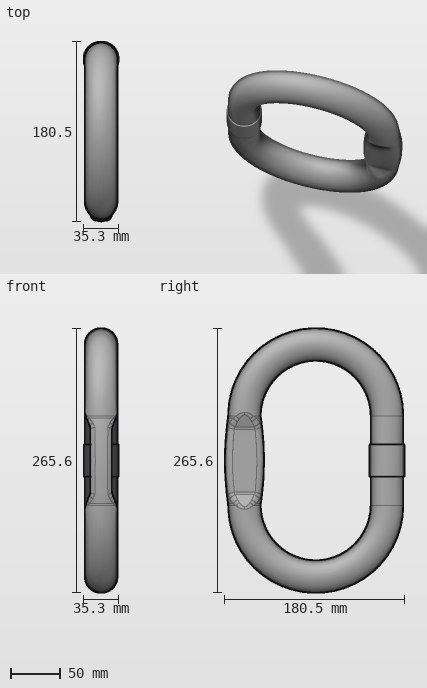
import cadquery as cq
import math

ring_height = 265.6
wire_diameter = 33.0
straight_length = 89.8

wire_radius = wire_diameter / 2
straight_half = straight_length / 2
bend_radius = ring_height / 2 - straight_half - wire_radius

collar_diameter = 35.3
collar_length = 32.5
collar_edge = 1.0

collar_radius = collar_diameter / 2

overall_depth = 180.5
barrel_end_blend = 13.3

barrel_radius = overall_depth - 2 * bend_radius - collar_radius
leg_y = -bend_radius

flat_thickness = 21.8
flat_length = 65.5
runout_length = 94.3
flat_blend = 7.0
cut_reach = 26.5
selection_gap = 0.3


def bend(side):
    """Half torus closing the ring at its upper (+1) or lower (-1) end."""
    profile = cq.Workplane("XY", origin=(0, leg_y, 0)).circle(wire_radius)
    half = profile.revolve(180, (0, bend_radius, 0), (-side, bend_radius, 0))
    return half.translate((0, 0, side * straight_half))


def round_bar(y, radius, length):
    """Bar parallel to Z, centred on Z = 0."""
    return cq.Workplane("XY", origin=(0, y, -length / 2)).circle(radius).extrude(length)


def collar():
    """Sleeve with rounded rims around the +Y leg."""
    return round_bar(bend_radius, collar_radius, collar_length).edges().fillet(collar_edge)


def barrel():
    """The -Y leg: one long outward arc, met at each end by a tangent inward blend."""
    swell = barrel_radius - wire_radius
    centre_distance = (swell**2 + straight_half**2) / (2 * swell)
    arc_radius = centre_distance - barrel_end_blend
    arc_centre_x = barrel_radius - arc_radius
    blend_centre_x = wire_radius + barrel_end_blend
    end_angle = math.asin(straight_half / centre_distance)

    tangent_x = arc_centre_x + arc_radius * math.cos(end_angle)
    tangent_z = arc_radius * math.sin(end_angle)
    blend_x = blend_centre_x - barrel_end_blend * math.cos(end_angle / 2)
    blend_z = straight_half - barrel_end_blend * math.sin(end_angle / 2)

    outline = (
        cq.Workplane("XZ", origin=(0, leg_y, 0))
        .moveTo(0, -straight_half)
        .lineTo(wire_radius, -straight_half)
        .threePointArc((blend_x, -blend_z), (tangent_x, -tangent_z))
        .threePointArc((barrel_radius, 0), (tangent_x, tangent_z))
        .threePointArc((blend_x, blend_z), (wire_radius, straight_half))
        .lineTo(0, straight_half)
        .close()
    )
    return outline.revolve(360, (0, 0, 0), (0, 1, 0))


def flat_cutter(side):
    """Prism that leaves a flat with sloping run-outs on the side X = +1 or -1."""
    flat_x = flat_thickness / 2
    flat_half = flat_length / 2
    slope = (wire_radius - flat_x) / ((runout_length - flat_length) / 2)
    far_x = flat_x + slope * cut_reach
    far_half = flat_half + cut_reach
    prism = (
        cq.Workplane("XZ", origin=(0, leg_y + cut_reach, 0))
        .moveTo(side * far_x, -far_half)
        .lineTo(side * flat_x, -flat_half)
        .lineTo(side * flat_x, flat_half)
        .lineTo(side * far_x, far_half)
        .close()
        .extrude(2 * cut_reach)
    )
    flat_face = "<X" if side > 0 else ">X"
    return prism.faces(flat_face).edges("|Y").fillet(flat_blend)


def rim_edges(body, side):
    """Curved edges bounding the flat and its run-outs; the straight ones lie inside them."""
    flat_x = side * flat_thickness / 2
    near_x = flat_x - side * selection_gap
    zone = cq.selectors.BoxSelector(
        (near_x, leg_y - barrel_radius, -runout_length),
        (side * barrel_radius, leg_y + barrel_radius, runout_length),
    )
    return body.edges(zone).filter(lambda edge: edge.geomType() != "LINE")


plain_leg = round_bar(bend_radius, wire_radius, straight_length)
ring = bend(1).union(bend(-1)).union(plain_leg).union(barrel()).union(collar())

for side in (1, -1):
    ring = ring.cut(flat_cutter(side))
    ring = rim_edges(ring, side).fillet(flat_blend)

result = ring